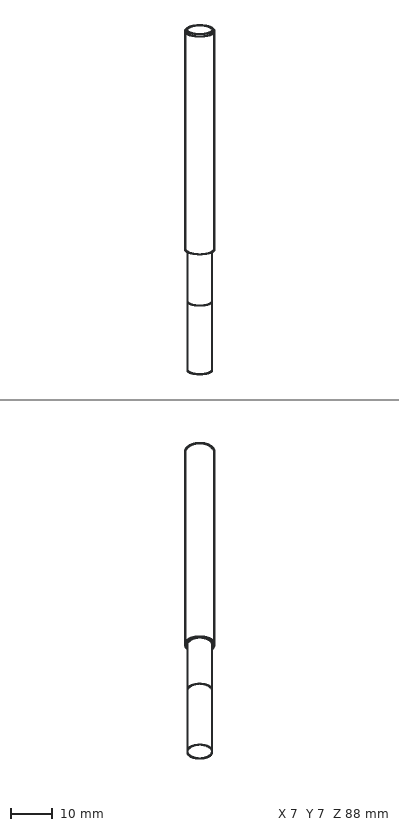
import cadquery as cq
import math

total_length = 88.0
shank_radius = 3.5
step_height = 31.9
end_chamfer = 0.4

tip_radius = 3.0
neck_radius = tip_radius
joint_height = 18.7
point_angle = 140.0
point_length = tip_radius / math.tan(math.radians(point_angle / 2))


def revolve_profile(points):
    """Turn a closed (radius, height) outline around the Z axis."""
    return cq.Workplane("XZ").polyline(points).close().revolve(360, (0, 0), (0, 1))


def make_holder():
    """Shank with a chamfered top end and a narrower neck below."""
    return revolve_profile([
        (0, joint_height),
        (neck_radius, joint_height),
        (neck_radius, step_height),
        (shank_radius, step_height),
        (shank_radius, total_length - end_chamfer),
        (shank_radius - end_chamfer, total_length),
        (0, total_length),
    ])


def make_tip():
    """Round tip ending in a cone with its point at Z = 0."""
    return revolve_profile([
        (0, 0),
        (tip_radius, point_length),
        (tip_radius, joint_height),
        (0, joint_height),
    ])


holder = make_holder()
tip = make_tip()

result = cq.Compound.makeCompound([holder.val(), tip.val()])